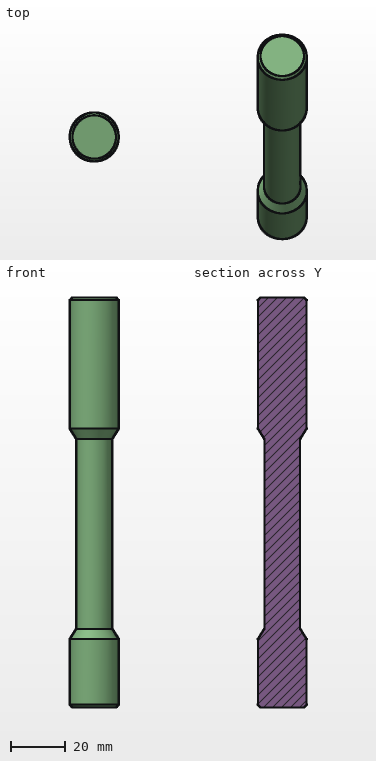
import cadquery as cq

length = 150.0
head_radius = 18.0 / 2
waist_radius = 13.4 / 2

lower_head_length = 25.0
upper_head_length = 48.0
end_chamfer = 1.0

taper_length = 3.8

lower_taper_start = lower_head_length
upper_taper_end = length - upper_head_length

half_profile = (
    cq.Workplane("XZ")
    .lineTo(head_radius, 0)
    .lineTo(head_radius, lower_taper_start)
    .lineTo(waist_radius, lower_taper_start + taper_length)
    .lineTo(waist_radius, upper_taper_end - taper_length)
    .lineTo(head_radius, upper_taper_end)
    .lineTo(head_radius, length)
    .lineTo(0, length)
    .close()
)
bar = half_profile.revolve(360, (0, 0, 0), (0, 1, 0))

result = bar.faces("<Z or >Z").edges().chamfer(end_chamfer)